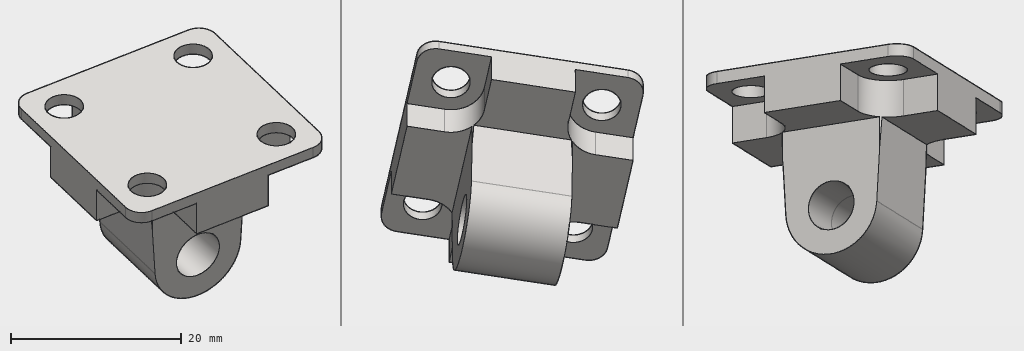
import cadquery as cq
import math

plate_side = 27.0
plate_thickness = 1.5
corner_radius = 2.25
hole_diameter = 4.5
hole_spacing = 18.0

block_height = 4.5
notch_radius = 4.0

total_height = 22.0
lug_width = 12.0
lug_radius = 6.0
lug_root_half_depth = 6.6
bore_diameter = 6.0

plate_bottom = -plate_thickness
block_bottom = plate_bottom - block_height
bore_height = lug_radius - total_height


def make_plate():
    return (
        cq.Workplane("XY", origin=(0, 0, plate_bottom))
        .rect(plate_side, plate_side)
        .extrude(plate_thickness)
        .edges("|Z")
        .fillet(corner_radius)
    )


def make_block():
    return (
        cq.Workplane("XY", origin=(0, 0, block_bottom))
        .rect(plate_side, plate_side)
        .extrude(block_height)
    )


def make_notches():
    """Corner clearances around the screw holes, reaching down past the lug."""
    notch_side = 2 * ((plate_side - hole_spacing) / 2 + notch_radius)
    return (
        cq.Workplane("XY", origin=(0, 0, -total_height))
        .rect(plate_side, plate_side, forConstruction=True)
        .vertices()
        .rect(notch_side, notch_side)
        .extrude(total_height - plate_thickness)
        .edges("|Z")
        .fillet(notch_radius)
    )


def make_lug():
    """Lug with flanks that lean inward and run tangent into the round end."""
    rise = block_bottom - bore_height
    reach = math.hypot(lug_root_half_depth, rise)
    angle = math.atan2(rise, lug_root_half_depth) - math.acos(lug_radius / reach)
    tangent_y = lug_radius * math.cos(angle)
    tangent_z = bore_height + lug_radius * math.sin(angle)
    return (
        cq.Workplane("YZ")
        .moveTo(-lug_root_half_depth, block_bottom)
        .lineTo(-tangent_y, tangent_z)
        .threePointArc((0, -total_height), (tangent_y, tangent_z))
        .lineTo(lug_root_half_depth, block_bottom)
        .close()
        .extrude(lug_width / 2, both=True)
    )


screw_holes = (
    cq.Workplane("XY", origin=(0, 0, plate_bottom))
    .rect(hole_spacing, hole_spacing, forConstruction=True)
    .vertices()
    .circle(hole_diameter / 2)
    .extrude(plate_thickness)
)
bore = (
    cq.Workplane("YZ", origin=(0, 0, bore_height))
    .circle(bore_diameter / 2)
    .extrude(lug_width / 2, both=True)
)

body = make_block().union(make_lug()).cut(make_notches())
result = make_plate().union(body).cut(screw_holes).cut(bore)